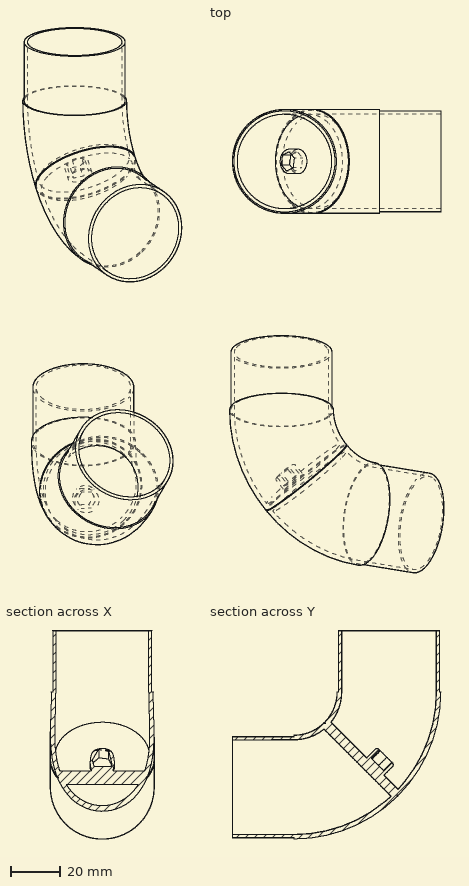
import cadquery as cq
import math

overall = 85.0
bend_diameter = 42.4
spigot_diameter = 41.2
bore_diameter = 38.5
spigot_length = 25.0
half_wall = 2.0
joint_gap = 0.25
joint_depth = 0.3

head_diameter = 10.0
head_height = 5.95
head_round = 1.0
head_offset = 6.1
socket_corners = 8.0
socket_depth = 4.8
socket_turn = 80.0

bend_radius = overall - spigot_length - bend_diameter / 2
bend_angle = 90.0


def quarter_bend(diameter):
    """Torus quarter from the upright leg to the level leg."""
    return (
        cq.Workplane("XY")
        .center(-bend_radius, 0)
        .circle(diameter / 2)
        .revolve(bend_angle, (bend_radius, 0, 0), (bend_radius, -1, 0))
    )


def elbow(bend_dia, leg_dia):
    """Quarter bend with a straight round leg on each end."""
    upright = cq.Workplane("XY").center(-bend_radius, 0).circle(leg_dia / 2).extrude(spigot_length)
    level = cq.Workplane("YZ").center(0, -bend_radius).circle(leg_dia / 2).extrude(spigot_length)
    return quarter_bend(bend_dia).union(upright).union(level)


def joint_plane(offset):
    """Plane parallel to the mitre joint; local x points outward from the bend centre."""
    diagonal = math.sqrt(0.5)
    return cq.Plane(
        origin=(-offset * diagonal, 0, offset * diagonal),
        xDir=(-diagonal, 0, -diagonal),
        normal=(-diagonal, 0, diagonal),
    )


def joint_disc(diameter, thickness):
    """Disc across the bend, centred on the mitre joint."""
    return (
        cq.Workplane(joint_plane(-thickness / 2))
        .center(bend_radius, 0)
        .circle(diameter / 2)
        .extrude(thickness)
    )


partition_diameter = (bend_diameter + bore_diameter) / 2
partition = joint_disc(partition_diameter, 2 * half_wall)
result = elbow(bend_diameter, spigot_diameter).cut(elbow(bore_diameter, bore_diameter)).union(partition)

groove = joint_disc(bend_diameter + 2 * joint_depth, joint_gap)
groove = groove.cut(joint_disc(bend_diameter - 2 * joint_depth, joint_gap))
result = result.cut(groove)

screw_radius = bend_radius + head_offset
head = (
    cq.Workplane(joint_plane(half_wall))
    .center(screw_radius, 0)
    .circle(head_diameter / 2)
    .extrude(head_height)
    .faces(cq.selectors.DirectionMinMaxSelector(joint_plane(0).zDir, True))
    .edges()
    .fillet(head_round)
)
socket = (
    cq.Workplane(joint_plane(half_wall + head_height))
    .center(screw_radius, 0)
    .transformed(rotate=(0, 0, socket_turn))
    .polygon(6, socket_corners)
    .extrude(-socket_depth)
)
result = result.union(head.cut(socket))